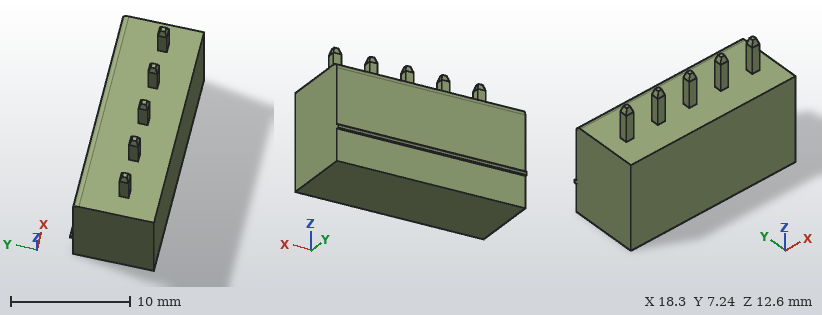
import cadquery as cq

pin_count = 5
pin_pitch = 3.5
end_margin = 2.15
housing_length = (pin_count - 1) * pin_pitch + 2 * end_margin
housing_depth = 7.0
housing_height = 9.2
edge_radius = 0.5

rib_bottom = 3.0
rib_height = 0.4
rib_projection = 0.24
rib_edge_radius = 0.2

pin_width = 0.8
pin_tip_width = 0.4
pin_length = 3.4
pin_taper_length = 0.6
pin_shank_length = pin_length - pin_taper_length
pin_y = 3.0


def make_housing():
    """Block with its front face at Y = 0, its base at Z = 0 and a rounded rear top edge."""
    block = cq.Workplane("XY").box(
        housing_length, housing_depth, housing_height, centered=(True, False, False)
    )
    return block.edges(">Y and >Z").fillet(edge_radius)


def make_rib():
    """Full-length rear rib with a flat underside and a rounded upper outer edge."""
    bar = cq.Workplane("XY", origin=(0, housing_depth, rib_bottom)).box(
        housing_length, rib_projection, rib_height, centered=(True, False, False)
    )
    return bar.edges(">Y and >Z").fillet(rib_edge_radius)


def make_pin(x):
    """Square pin standing on the housing, tapering to a smaller square tip."""
    shank = (
        cq.Workplane("XY", origin=(x, pin_y, housing_height))
        .rect(pin_width, pin_width)
        .extrude(pin_shank_length)
    )
    tip = (
        cq.Workplane("XY", origin=(x, pin_y, housing_height + pin_shank_length))
        .rect(pin_width, pin_width)
        .workplane(offset=pin_taper_length)
        .rect(pin_tip_width, pin_tip_width)
        .loft(ruled=True)
    )
    return shank.union(tip)


result = make_housing().union(make_rib())
first_pin_x = -(pin_count - 1) * pin_pitch / 2
for index in range(pin_count):
    result = result.union(make_pin(first_pin_x + index * pin_pitch))